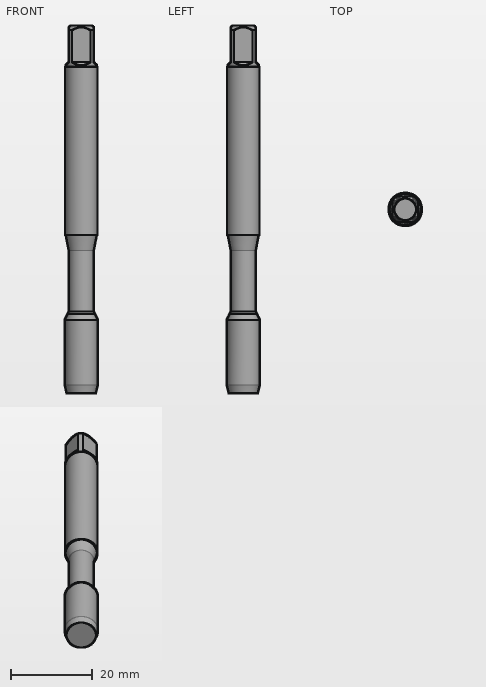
import cadquery as cq

total_length = 90.1

head_diameter = 8.2
head_tip_diameter = 7.2
head_lead_length = 2.1
head_cylinder_end = 18.0
head_end = 19.5

neck_diameter = 6.2
neck_start = 20.0
neck_taper_start = 35.0
neck_taper_end = 38.7
neck_taper_diameter = 7.7

shank_diameter = 8.0
square_width = 6.2
square_corner_diameter = 7.7
square_length = 9.0
shank_end = 79.9
shank_shoulder_chamfer = (shank_diameter - square_corner_diameter) / 2
runout_height = 0.9
square_tip_diameter = 5.3

cone_fraction = (head_end - head_cylinder_end) / (neck_start - head_cylinder_end)
seam_diameter = head_diameter + cone_fraction * (neck_diameter - head_diameter)

square_start = total_length - square_length
square_tip_chamfer = (square_corner_diameter - square_tip_diameter) / 2


def revolve_profile(points):
    """Turn a half outline of (radius, height) points about the Z axis."""
    return cq.Workplane("XZ").polyline(points).close().revolve(360, (0, 0, 0), (0, 1, 0))


def make_head():
    """Cylindrical head with a conical lead at its free end and the wide part of the cone at the other."""
    return revolve_profile([
        (0, 0),
        (head_tip_diameter / 2, 0),
        (head_diameter / 2, head_lead_length),
        (head_diameter / 2, head_cylinder_end),
        (seam_diameter / 2, head_end),
        (0, head_end),
    ])


def make_turned_shank():
    """Round blank of the shank, from the last part of the cone to the tip of the square."""
    return revolve_profile([
        (0, head_end),
        (seam_diameter / 2, head_end),
        (neck_diameter / 2, neck_start),
        (neck_diameter / 2, neck_taper_start),
        (neck_taper_diameter / 2, neck_taper_end),
        (shank_diameter / 2, neck_taper_end),
        (shank_diameter / 2, shank_end),
        (square_corner_diameter / 2, shank_end + shank_shoulder_chamfer),
        (square_corner_diameter / 2, total_length - square_tip_chamfer),
        (square_tip_diameter / 2, total_length),
        (0, total_length),
    ])


def make_flat_cutter():
    """Cutter for the flat on the +X side, with a sloped runout at its lower end."""
    inner = square_width / 2
    outer = inner + runout_height
    return (
        cq.Workplane("XZ")
        .polyline([
            (inner, square_start),
            (outer, square_start - runout_height),
            (outer, total_length),
            (inner, total_length),
        ])
        .close()
        .extrude(shank_diameter / 2, both=True)
    )


def make_shank():
    """Shank with its neck and the four flats of the driving square."""
    shank = make_turned_shank()
    cutter = make_flat_cutter()
    for angle in (0, 90, 180, 270):
        shank = shank.cut(cutter.rotate((0, 0, 0), (0, 0, 1), angle))
    return shank


head = make_head()
shank = make_shank()

result = cq.Compound.makeCompound([head.val(), shank.val()])